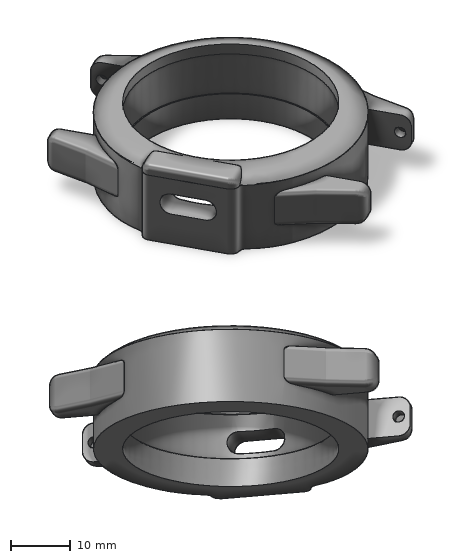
import cadquery as cq
import math

overall_length = 57.0
total_height = 15.0
bezel_height = 2.0
case_height = total_height - bezel_height

bezel_diameter = 46.5
case_diameter = 46.4
bore_diameter = 36.5
seat_diameter = 37.05
seat_floor = 5.0

guard_front = -case_diameter / 2
guard_back = -bore_diameter / 2
guard_corner_radius = 1.6
guard_half_width = 7.0 + guard_corner_radius
guard_front_edge_radius = 1.0
guard_back_edge_radius = 0.35
guard_blend_radius = 1.5

cheek_radius = 18.25
cheek_start_angle = math.radians(45)

slot_length = 10.0
slot_height = 4.0
slot_center_height = 8.0

lug_inner_y = 11.0
lug_tip_x = overall_length / 2
lug_bottom = 4.0
lug_height = 7.0
lug_tip_width = 2.6
lug_knee = (20.5, 16.0)
lug_root = (13.9, 18.8)
lug_inner_x = 16.5
lug_tip_radius = 2.0
lug_edge_radius = 1.0
pin_hole_diameter = 2.0
pin_hole_depth = 2.0
pin_hole_from_tip = 2.0


def disc(diameter, height, bottom=0.0):
    return cq.Workplane("XY").workplane(offset=bottom).circle(diameter / 2).extrude(height)


def guard_block(bottom, height):
    """Plain block on the -Y side, reaching back to the bore."""
    depth = guard_back - guard_front
    block = cq.Workplane("XY").box(2 * guard_half_width, depth, height, centered=(True, False, False))
    return block.translate((0, guard_front, bottom))


def lug():
    """Lug on the +X, +Y side, tapering in two flat stretches towards its tip."""
    outline = [
        (lug_inner_x, lug_inner_y),
        (lug_tip_x, lug_inner_y),
        (lug_tip_x, lug_inner_y + lug_tip_width),
        lug_knee,
        lug_root,
    ]
    body = cq.Workplane("XY").workplane(offset=lug_bottom).polyline(outline).close().extrude(lug_height)
    body = body.faces(">X").edges("not <Y").fillet(lug_tip_radius)
    body = body.faces("<Z or >Z").edges("not(|X or |Y)").fillet(lug_edge_radius)
    pin_hole = (
        cq.Workplane("XZ", origin=(lug_tip_x - pin_hole_from_tip, lug_inner_y, lug_bottom + lug_height / 2))
        .circle(pin_hole_diameter / 2)
        .extrude(-pin_hole_depth)
    )
    return body.cut(pin_hole)


def four_lugs():
    right_back = lug()
    back_pair = right_back.union(right_back.mirror("YZ"))
    return back_pair.union(back_pair.mirror("XZ"))


def slot():
    """Obround opening that runs from the guard's front face into the bore."""
    return (
        cq.Workplane("XZ", origin=(0, guard_front, slot_center_height))
        .slot2D(slot_length, slot_height)
        .extrude(guard_front - guard_back - seat_diameter / 4)
    )


def case_outside():
    """Round wall whose front ends in two cheek arcs, tangent to it, that reach the guard's sides."""
    case_radius = case_diameter / 2
    start_x = case_radius * math.cos(cheek_start_angle)
    start_y = -case_radius * math.sin(cheek_start_angle)
    center_x = (case_radius - cheek_radius) * math.cos(cheek_start_angle)
    center_y = -(case_radius - cheek_radius) * math.sin(cheek_start_angle)
    end_x = guard_half_width
    end_angle = math.acos((end_x - center_x) / cheek_radius)
    end_y = center_y - cheek_radius * math.sin(end_angle)
    middle_angle = (cheek_start_angle + end_angle) / 2
    middle_x = center_x + cheek_radius * math.cos(middle_angle)
    middle_y = center_y - cheek_radius * math.sin(middle_angle)
    return (
        cq.Workplane("XY")
        .moveTo(start_x, start_y)
        .threePointArc((0, case_radius), (-start_x, start_y))
        .threePointArc((-middle_x, middle_y), (-end_x, end_y))
        .lineTo(end_x, end_y)
        .threePointArc((middle_x, middle_y), (start_x, start_y))
        .close()
        .extrude(case_height)
    )


def make_case():
    guard = guard_block(0, case_height).edges("|Z and <Y").fillet(guard_corner_radius)
    body = case_outside().union(guard)
    guard_sides = cq.selectors.BoxSelector(
        (-guard_half_width - 0.55, guard_front + guard_corner_radius + 0.05, 0),
        (guard_half_width + 0.55, guard_back, case_height),
    )
    body = body.edges("|Z").edges(guard_sides).fillet(guard_blend_radius)
    body = body.union(four_lugs())
    body = body.cut(disc(bore_diameter, case_height))
    body = body.cut(disc(seat_diameter, case_height - seat_floor, seat_floor))
    return body.cut(slot())


def domed_ring():
    """Ring whose top is an arc that runs level into the edge of the bore."""
    rim_width = (bezel_diameter - bore_diameter) / 2
    dome_radius = (rim_width**2 + bezel_height**2) / (2 * bezel_height)
    half_angle = math.asin(rim_width / dome_radius) / 2
    dome_middle = (
        bore_diameter / 2 + dome_radius * math.sin(half_angle),
        total_height - dome_radius * (1 - math.cos(half_angle)),
    )
    return (
        cq.Workplane("XZ")
        .moveTo(bore_diameter / 2, case_height)
        .lineTo(bezel_diameter / 2, case_height)
        .threePointArc(dome_middle, (bore_diameter / 2, total_height))
        .close()
        .revolve(360, (0, 0, 0), (0, 1, 0))
    )


def make_bezel():
    guard = guard_block(case_height, bezel_height)
    guard = guard.edges("(|Z and <Y) or (|Y and >Z)").fillet(guard_corner_radius)
    guard = guard.edges(">Z and <Y").fillet(guard_front_edge_radius)
    guard = guard.faces(">Y").edges(">Z").fillet(guard_back_edge_radius)
    return domed_ring().union(guard)


case = make_case()
bezel = make_bezel()
result = cq.Compound.makeCompound([case.val(), bezel.val()])